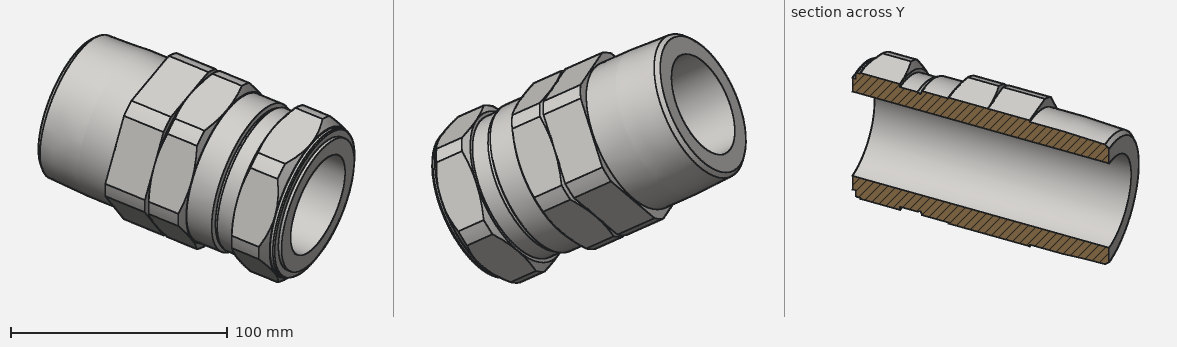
import cadquery as cq
import math

length = 129.8
bore_radius = 24.9

hex_sides = 6
across_flats = 75.0
across_corners = 82.4
sharp_across_corners = across_flats / math.cos(math.pi / hex_sides)
flat_radius = across_flats / 2
corner_radius = across_corners / 2

face_radius = 33.7
taper_start_x = 2.1
taper_start_radius = 35.7
taper_end_x = 23.2
spigot_radius = 36.6

body_hex_x = 40.1
middle_hex_x = 61.3
middle_hex_end_x = 81.3
hex_chamfer = 2.1

collar_radius = 37.0
groove_x = 94.6
groove_bottom_x = 95.4
groove_end_x = 96.8
groove_radius = 34.9
neck_radius = 35.7

nut_x = 105.7
nut_end_x = 125.9
nut_rear_chamfer = 3.6
rim_radius = 37.0
rim_bevel_x = 127.3
rim_end_x = 128.1
rim_end_radius = 36.6
end_ring_radius = 33.2


def revolve_about_x(profile):
    """Turn (x, radius) points, closed along the axis, about the X axis."""
    first_x = profile[0][0]
    last_x = profile[-1][0]
    outline = [(first_x, 0)] + profile + [(last_x, 0)]
    return cq.Workplane("XZ").polyline(outline).close().revolve(360, (0, 0, 0), (1, 0, 0))


def hexagon(start_x, end_x, front_chamfer=0.0, rear_chamfer=0.0):
    """Hexagonal prism trimmed by a cylinder with conical ends."""
    prism = (
        cq.Workplane("YZ", origin=(start_x, 0, 0))
        .polygon(hex_sides, sharp_across_corners)
        .extrude(end_x - start_x)
    )
    profile = [(start_x + front_chamfer, corner_radius), (end_x - rear_chamfer, corner_radius)]
    if front_chamfer > 0:
        profile.insert(0, (start_x, flat_radius))
    if rear_chamfer > 0:
        profile.append((end_x, flat_radius))
    return prism.intersect(revolve_about_x(profile))


def turned_core():
    """All the round stretches, from the spigot face to the end ring."""
    return revolve_about_x([
        (0, face_radius),
        (taper_start_x, taper_start_radius),
        (taper_end_x, spigot_radius),
        (middle_hex_x, spigot_radius),
        (middle_hex_x, collar_radius),
        (groove_x, collar_radius),
        (groove_bottom_x, groove_radius),
        (groove_end_x, neck_radius),
        (nut_x, neck_radius),
        (nut_x, rim_radius),
        (rim_bevel_x, rim_radius),
        (rim_end_x, rim_end_radius),
        (rim_end_x, end_ring_radius),
        (length, end_ring_radius),
    ])


def through_bore():
    return cq.Workplane("YZ").circle(bore_radius).extrude(length)


body_hex = hexagon(body_hex_x, middle_hex_x)
middle_hex = hexagon(middle_hex_x, middle_hex_end_x, hex_chamfer, hex_chamfer)
nut = hexagon(nut_x, nut_end_x, hex_chamfer, nut_rear_chamfer)

result = turned_core().union(body_hex).union(middle_hex).union(nut).cut(through_bore())